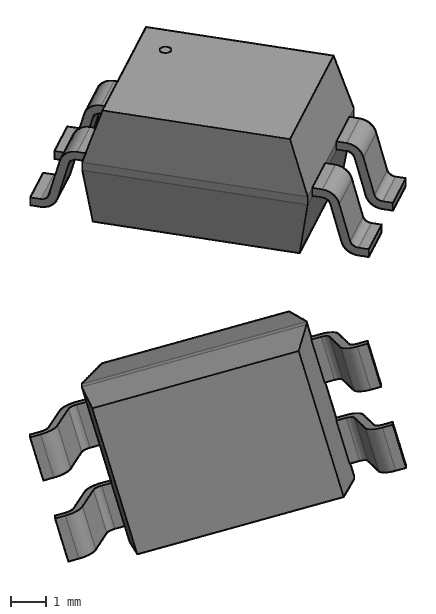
import cadquery as cq
import math

overall_length = 10.01
body_width = 4.83
body_height = 3.81

body_length = 6.67
top_length = 5.55
top_width = 4.56
bottom_length = 6.12
bottom_width = 4.56
band_bottom = 1.78

lead_thickness = 0.27
lead_width = 1.35
lead_pitch = 2.53
foot_length = 0.31
inner_radius = 0.25
leg_tilt = math.radians(15)
outer_radius = inner_radius + lead_thickness
band_top = band_bottom + lead_thickness

marker_diameter = 0.33
marker_depth = 0.05
marker_x = -1.91
marker_y = lead_pitch / 2


def make_taper(start_z, start_length, start_width, end_z, end_length, end_width):
    """Block that runs from one centred rectangle to another at a different height."""
    return (
        cq.Workplane("XY", origin=(0, 0, start_z))
        .rect(start_length, start_width)
        .workplane(offset=end_z - start_z)
        .rect(end_length, end_width)
        .loft(ruled=True)
    )


def make_marker():
    return (
        cq.Workplane("XY", origin=(marker_x, marker_y, body_height - marker_depth))
        .circle(marker_diameter / 2)
        .extrude(marker_depth)
    )


def make_housing(marker):
    lower = make_taper(0, bottom_length, bottom_width, band_bottom, body_length, body_width)
    band = cq.Workplane("XY", origin=(0, 0, band_bottom)).rect(body_length, body_width).extrude(lead_thickness)
    upper = make_taper(band_top, body_length, body_width, body_height, top_length, top_width)
    return lower.union(band).union(upper).cut(marker)


def arc_point(center, radius, angle):
    return (center[0] + radius * math.cos(angle), center[1] + radius * math.sin(angle))


def make_left_lead(y_center):
    """Lead on the -X side: flat foot, leaning leg and flat shoulder, joined by two bends."""
    turn = math.pi / 2 - leg_tilt
    up = math.pi / 2
    down = -math.pi / 2

    radius_sum = inner_radius + outer_radius
    leg_rise = band_bottom - radius_sum * (1 - math.cos(turn))
    bend_run = radius_sum * math.sin(turn) + leg_rise * math.tan(leg_tilt)

    foot_start = -overall_length / 2
    shoulder_end = -body_length / 2
    foot_center = (foot_start + foot_length, outer_radius)
    shoulder_center = (foot_center[0] + bend_run, band_top - outer_radius)

    return (
        cq.Workplane("XZ", origin=(0, y_center + lead_width / 2, 0))
        .moveTo(foot_start, 0)
        .lineTo(foot_center[0], 0)
        .threePointArc(
            arc_point(foot_center, outer_radius, down + turn / 2),
            arc_point(foot_center, outer_radius, down + turn),
        )
        .lineTo(*arc_point(shoulder_center, inner_radius, up + turn))
        .threePointArc(
            arc_point(shoulder_center, inner_radius, up + turn / 2),
            arc_point(shoulder_center, inner_radius, up),
        )
        .lineTo(shoulder_end, band_bottom)
        .lineTo(shoulder_end, band_top)
        .lineTo(shoulder_center[0], band_top)
        .threePointArc(
            arc_point(shoulder_center, outer_radius, up + turn / 2),
            arc_point(shoulder_center, outer_radius, up + turn),
        )
        .lineTo(*arc_point(foot_center, inner_radius, down + turn))
        .threePointArc(
            arc_point(foot_center, inner_radius, down + turn / 2),
            arc_point(foot_center, inner_radius, down),
        )
        .lineTo(foot_start, lead_thickness)
        .close()
        .extrude(lead_width)
    )


def make_leads():
    leads = []
    for y_center in (-lead_pitch / 2, lead_pitch / 2):
        left_lead = make_left_lead(y_center)
        leads.append(left_lead.val())
        leads.append(left_lead.mirror("YZ").val())
    return leads


marker = make_marker()
housing = make_housing(marker)
leads = make_leads()

result = cq.Compound.makeCompound([housing.val(), marker.val(), *leads])